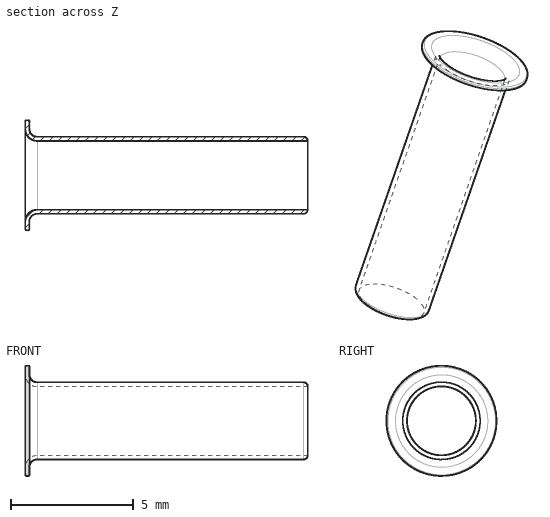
import cadquery as cq

length = 11.5
flange_diameter = 4.5
bore_diameter = 2.8
tube_diameter = 3.15
flare_radius = 0.48
rim_rounding = 0.06

bore_radius = bore_diameter / 2
tube_radius = tube_diameter / 2
wall = tube_radius - bore_radius
flange_radius = flange_diameter / 2
end_rounding = wall

outer_bend_radius = flare_radius - wall

tube = cq.Workplane("YZ").circle(tube_radius).extrude(length)
tube = tube.faces(">X").edges().fillet(end_rounding)
flange = cq.Workplane("YZ").circle(flange_radius).extrude(wall)
flange = flange.edges().fillet(rim_rounding)


def bend_ring(start_x, inner_radius, bend_radius):
    """Ring with a concave quarter-round between a face at start_x and a cylinder."""
    middle_offset = bend_radius * (1 - 0.5 ** 0.5)
    return (
        cq.Workplane("XY")
        .moveTo(start_x, inner_radius)
        .lineTo(start_x, inner_radius + bend_radius)
        .threePointArc(
            (start_x + middle_offset, inner_radius + middle_offset),
            (start_x + bend_radius, inner_radius),
        )
        .close()
        .revolve(360, (0, 0, 0), (1, 0, 0))
    )


body = tube.union(flange).union(bend_ring(wall, tube_radius, outer_bend_radius))

bore = cq.Workplane("YZ").circle(bore_radius).extrude(length)
flare = bend_ring(0, bore_radius, flare_radius)
result = body.cut(bore).cut(flare)